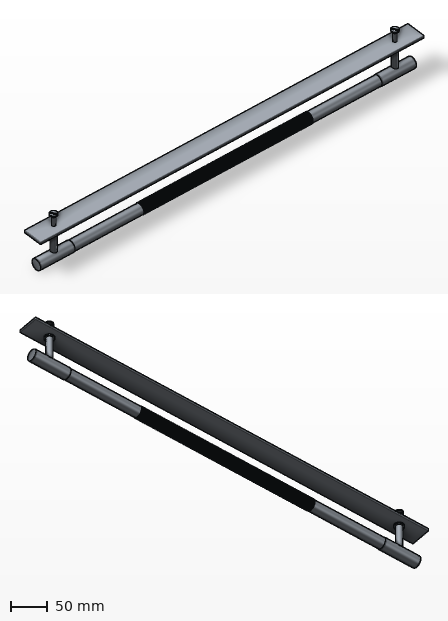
import cadquery as cq

plate_length = 684
plate_width = 35.0
plate_thickness = 4.0
plate_top = 21.0
plate_corner_radius = 1.5
plate_edge_fillet = 1.0

bar_length = 669.5
bar_diameter = 18.0
handle_bottom = -42.0
sleeve_wall = 0.55
sleeve_length = 61.5
sleeve_chamfer_length = 1.5
sleeve_chamfer_depth = 0.35

ring_count = 147
ring_pitch = 2.0
ring_height = 0.55

post_spacing = 608.0
post_diameter = 10.0
collar_diameter = 15.0
collar_thickness = 2.0
tap_hole_diameter = 5.0
tap_hole_bottom = 1.5

screw_top = 42.0
screw_tip = 11.5
shaft_diameter = 6.0
neck_diameter = 5.0
neck_length = 1.5
shoulder_height = 2.0
head_diameter = 12.0
head_thickness = 2.0
slot_width = 2.0
slot_depth = 1.5
slot_angle = 45

plate_bottom = plate_top - plate_thickness
bar_radius = bar_diameter / 2
sleeve_diameter = bar_diameter + 2 * sleeve_wall
bar_z = handle_bottom + sleeve_diameter / 2
post_places = [-post_spacing / 2, post_spacing / 2]


def upright_cylinder(diameter, bottom, top, y):
    return cq.Workplane("XY", origin=(0, y, bottom)).circle(diameter / 2).extrude(top - bottom)


def lying_cylinder(diameter, length, middle):
    section = cq.Workplane("XZ", origin=(0, middle + length / 2, bar_z)).circle(diameter / 2)
    return section.extrude(length)


def make_plate():
    blank = cq.Workplane("XY", origin=(0, 0, plate_bottom)).rect(plate_width, plate_length)
    plate = blank.extrude(plate_thickness).edges("|Z").fillet(plate_corner_radius)
    plate = plate.faces("<Z or >Z").edges().fillet(plate_edge_fillet)
    for y in post_places:
        plate = plate.cut(upright_cylinder(shaft_diameter, plate_bottom, plate_top, y))
    return plate


def make_knurl():
    start = -ring_count * ring_pitch / 2
    crest_radius = bar_radius + ring_height
    half_profile = [(0, start), (bar_radius, start)]
    for ring in range(ring_count):
        root = start + ring * ring_pitch
        half_profile.append((crest_radius, root + ring_pitch / 2))
        half_profile.append((bar_radius, root + ring_pitch))
    half_profile.append((0, -start))
    section = cq.Workplane("XY", origin=(0, 0, bar_z)).polyline(half_profile).close()
    return section.revolve(360, (0, 0, 0), (0, 1, 0))


def make_sleeve(side):
    middle = side * (bar_length - sleeve_length) / 2
    sleeve = lying_cylinder(sleeve_diameter, sleeve_length, middle)
    end_edges = sleeve.faces("<Y or >Y").edges()
    return end_edges.chamfer(sleeve_chamfer_length, sleeve_chamfer_depth)


def make_handle():
    handle = lying_cylinder(bar_diameter, bar_length, 0).union(make_knurl())
    for side in (-1, 1):
        handle = handle.union(make_sleeve(side))
    for y in post_places:
        handle = handle.cut(upright_cylinder(post_diameter, bar_z, plate_bottom, y))
    return handle


def make_post(y):
    post = upright_cylinder(post_diameter, bar_z, plate_bottom, y)
    collar_bottom = plate_bottom - collar_thickness
    post = post.union(upright_cylinder(collar_diameter, collar_bottom, plate_bottom, y))
    post = post.cut(upright_cylinder(shaft_diameter, screw_tip, plate_bottom, y))
    return post.cut(upright_cylinder(tap_hole_diameter, tap_hole_bottom, screw_tip, y))


def make_screw(y):
    head_bottom = screw_top - head_thickness
    shoulder_top = head_bottom - neck_length
    shoulder_bottom = shoulder_top - shoulder_height
    half_profile = [
        (0, screw_tip),
        (shaft_diameter / 2, screw_tip),
        (shaft_diameter / 2, shoulder_bottom),
        (neck_diameter / 2, shoulder_top),
        (neck_diameter / 2, head_bottom),
        (head_diameter / 2, head_bottom),
        (head_diameter / 2, screw_top),
        (0, screw_top),
    ]
    section = cq.Workplane("XZ", origin=(0, y, 0)).polyline(half_profile).close()
    screw = section.revolve(360, (0, 0, 0), (0, 1, 0))
    slot = cq.Workplane("XY").box(head_diameter, slot_width, 2 * slot_depth)
    slot = slot.rotate((0, 0, 0), (0, 0, 1), slot_angle).translate((0, y, screw_top))
    return screw.cut(slot)


plate = make_plate()
handle = make_handle()
posts = [make_post(y) for y in post_places]
screws = [make_screw(y) for y in post_places]

result = cq.Compound.makeCompound(
    [
        plate.solids().val(),
        handle.solids().val(),
        *[post.solids().val() for post in posts],
        *[screw.solids().val() for screw in screws],
    ]
)